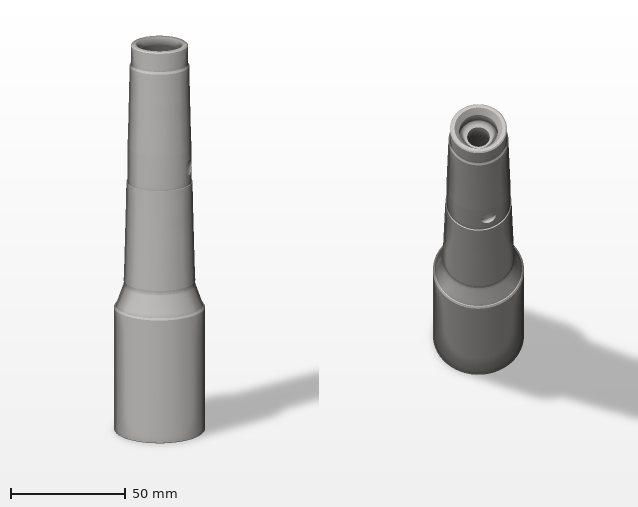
import cadquery as cq
import math

total_length = 177.5
barrel_diameter = 40.0
barrel_length = 57.5

barrel_top_chamfer_height = 0.9
barrel_top_chamfer_width = 0.5
barrel_bottom_chamfer = 0.4

flare_bottom_diameter = 38.2
flare_height = 9.5
relief_height = 1.8
relief_depth = 0.09

band_diameter = 28.0
band_bottom_z = 114.3
band_top_z = 130.3
taper_diameter_at_band_top = 28.2
taper_per_length = 0.052
taper_top_z = 167.5

nose_diameter = 25.0
nose_shoulder_height = 1.0
nose_edge_chamfer = 0.5

mouth_diameter = 21.0
counterbore_diameter = 17.0
mouth_depth = 3.0
counterbore_depth = 7.6
drill_diameter = 10.0
drill_depth = 28.4
drill_point_angle = 118.0

cross_hole_diameter = 6.7
cross_hole_z = (band_bottom_z + band_top_z) / 2


def taper_radius(z):
    """Radius of the shank cone, measured from its diameter at the band top."""
    return (taper_diameter_at_band_top - taper_per_length * (z - band_top_z)) / 2


def revolve_outline(points):
    """Turn a closed (radius, z) outline about the Z axis."""
    return cq.Workplane("XZ").polyline(points).close().revolve(360, (0, 0), (0, 1))


def make_barrel():
    barrel = cq.Workplane("XY").circle(barrel_diameter / 2).extrude(barrel_length)
    top_cutter = revolve_outline([
        (barrel_diameter / 2, barrel_length),
        (barrel_diameter / 2, barrel_length - barrel_top_chamfer_height),
        (barrel_diameter / 2 - barrel_top_chamfer_width, barrel_length),
    ])
    barrel = barrel.cut(top_cutter)
    return barrel.faces("<Z").edges().chamfer(barrel_bottom_chamfer)


def make_shank_blank():
    flare_bottom_radius = flare_bottom_diameter / 2
    flare_top_z = barrel_length + flare_height
    taper_bottom_z = flare_top_z + relief_height
    taper_bottom_radius = taper_radius(taper_bottom_z)
    relief_z = (flare_top_z + taper_bottom_z) / 2
    nose_radius = nose_diameter / 2
    return revolve_outline([
        (0, barrel_length),
        (flare_bottom_radius, barrel_length),
        (taper_bottom_radius, flare_top_z),
        (taper_bottom_radius - relief_depth, relief_z),
        (taper_bottom_radius, taper_bottom_z),
        (taper_radius(band_bottom_z), band_bottom_z),
        (band_diameter / 2, band_bottom_z),
        (band_diameter / 2, band_top_z),
        (taper_radius(taper_top_z), taper_top_z),
        (nose_radius, taper_top_z + nose_shoulder_height),
        (nose_radius, total_length - nose_edge_chamfer),
        (nose_radius - nose_edge_chamfer, total_length),
        (0, total_length),
    ])


def make_axial_hole():
    drill_radius = drill_diameter / 2
    drill_bottom_z = total_length - drill_depth
    point_height = drill_radius / math.tan(math.radians(drill_point_angle / 2))
    floor_z = total_length - counterbore_depth
    return revolve_outline([
        (0, total_length),
        (mouth_diameter / 2, total_length),
        (counterbore_diameter / 2, total_length - mouth_depth),
        (counterbore_diameter / 2, floor_z),
        (drill_radius, floor_z),
        (drill_radius, drill_bottom_z),
        (0, drill_bottom_z - point_height),
    ])


def make_cross_hole():
    return (
        cq.Workplane("YZ")
        .center(0, cross_hole_z)
        .circle(cross_hole_diameter / 2)
        .extrude(band_diameter)
    )


def make_shank():
    return make_shank_blank().cut(make_axial_hole()).cut(make_cross_hole())


barrel = make_barrel()
shank = make_shank()

result = cq.Compound.makeCompound([barrel.val(), shank.val()])